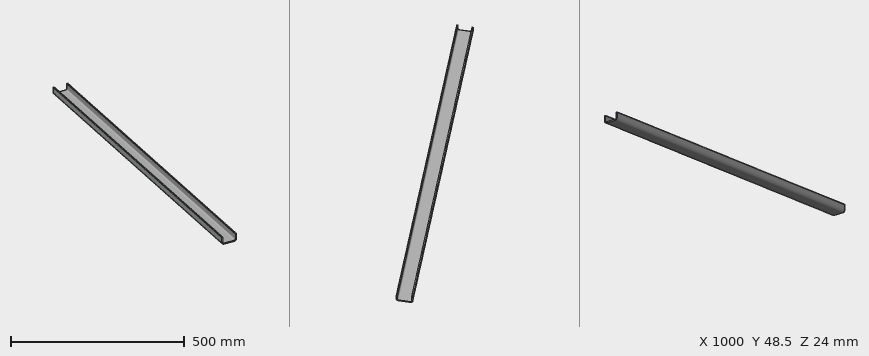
import cadquery as cq

length = 1000.0
width = 48.5
height = 24.0

thickness = 4.0
inner_bend_radius = 4.0
outer_bend_radius = inner_bend_radius + thickness


def rounded_bar(bar_width, bottom, corner_radius):
    """Full-length bar from `bottom` up to the rim, with both lower long edges rounded."""
    bar = cq.Workplane("XY").workplane(offset=bottom).box(
        length, bar_width, height - bottom, centered=(True, True, False)
    )
    return bar.edges("|X and <Z").fillet(corner_radius)


outer_body = rounded_bar(width, 0.0, outer_bend_radius)
trough = rounded_bar(width - 2 * thickness, thickness, inner_bend_radius)

result = outer_body.cut(trough)